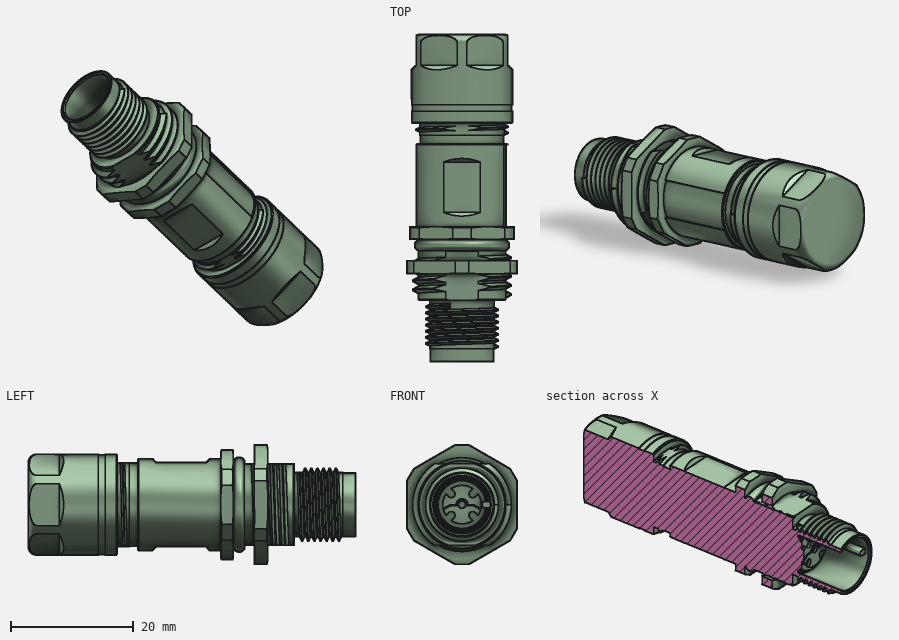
import cadquery as cq
import math

total_length = 53.45
overlap = 0.3

nose_end = 2.15
shank_front = 10.05
nut_front = 14.36
nut_back = 16.55
shank_back = 18.1
collar_front = 19.98
collar_back = 22.02
body_back = 35.61
neck_thread_front = 36.95
cap_front = 38.92
cap_groove_front = 40.88
cap_groove_back = 41.98
cap_flats_front = 48.4

nose_radius = 10.4 / 2
shank_radius = 7.17
gasket_ring_radius = 13.6 / 2
body_radius = 7.5
neck_radius = 6.83
neck_thread_root = 6.93
mating_thread_root = 5.27
nut_bore_radius = 7.65
cap_radius = 16.5 / 2
cap_groove_radius = 16.3 / 2
edge_chamfer = 0.2

mating_thread = {"root": mating_thread_root, "crest": 5.95, "pitch": 1.0, "first": 2.51, "last": 9.2}
shank_thread = {"root": shank_radius, "crest": 8.04, "pitch": 1.5, "first": 11.0, "last": 17.1}
neck_thread = {"root": neck_thread_root, "crest": 7.53, "pitch": 1.0, "first": 37.38, "last": 39.1}
crest_flat_ratio = 0.12
root_width_ratio = 0.75

mating_flat_height = 5.2
shank_flat_height = 6.65
neck_flat_height = 6.84

nut_across_flats = 18.0
nut_across_corners = 19.48
collar_across_flats = 17.0
collar_across_corners = 17.9
hex_bevel_depth = 0.2
nut_bevel_radius = 9.1
collar_bevel_radius = 8.6

cap_across_flats = 15.0
cap_end_rounding = 1.47

grip_flat_height = 6.9
grip_front = 24.4
grip_back = 32.6
label_radius = 7.2
label_half_width = 3.1
label_back = body_back - edge_chamfer

mouth_radius = 9.5 / 2
mouth_step_radius = 9.3 / 2
mouth_depth = 0.15
bore_radius = 9.2 / 2
bore_depth = 9.0
insert_rim_radii = (4.35, 4.1, 3.9)
insert_step_height = 0.25
contact_disc_radius = 3.14
contact_disc_height = 0.5
key_width = 1.0
key_inner_radius = 3.25
key_front = 1.0
contact_circle_radius = 2.45
contact_slot_width = 1.2
center_contact_radius = 0.6
parting_line_width = 0.15
parting_line_depth = 0.2
parting_arch_radius = 0.95
parting_level_end = 1.9
parting_slope_end = 3.0
parting_slope_drop = 0.65


def cylinder(radius, start, end):
    """Cylinder about Y between two stations."""
    return cq.Workplane("XZ", origin=(0, start, 0)).circle(radius).extrude(start - end)


def block(x_range, y_range, z_range):
    """Box given by its limits on each axis."""
    low, high = zip(x_range, y_range, z_range)
    size = [b - a for a, b in zip(low, high)]
    return cq.Workplane().box(*size, centered=False).translate(low)


def revolve_profile(profile):
    """Turn an (radius, station) outline drawn on the XY plane about Y."""
    return profile.close().revolve(360, (0, 0, 0), (0, 1, 0))


def chamfered_cylinder(radius, start, end, chamfered_face, chamfer):
    """Cylinder about Y with one end chamfered, picked by a face selector."""
    return cylinder(radius, start, end).faces(chamfered_face).chamfer(chamfer)


def thread_ridge(thread):
    """Right-hand helical ridge about Y."""
    length = thread["last"] - thread["first"]
    pitch = thread["pitch"]
    inner = thread["root"] - overlap / 2
    half_root = root_width_ratio * pitch / 2
    half_crest = crest_flat_ratio * pitch / 2
    helix = cq.Workplane(cq.Wire.makeHelix(pitch, length, thread["root"]))
    ridge = (
        cq.Workplane("XZ")
        .polyline(
            [
                (inner, -half_root),
                (thread["root"], -half_root),
                (thread["crest"], -half_crest),
                (thread["crest"], half_crest),
                (thread["root"], half_root),
                (inner, half_root),
            ]
        )
        .close()
        .sweep(helix, isFrenet=True)
    )
    return ridge.rotate((0, 0, 0), (1, 0, 0), -90).translate((0, thread["first"], 0))


def cut_flats(part, height, start, end):
    """Cut the part off above and below a height over a stretch of Y."""
    reach = nut_across_flats
    for low, high in ((height, reach), (-reach, -height)):
        part = part.cut(block((-reach, reach), (start, end), (low, high)))
    return part


def hex_prism(across_flats, start, end):
    """Hexagon about Y with flats facing +X and -X."""
    across_points = across_flats / math.cos(math.pi / 6)
    prism = cq.Workplane("XZ", origin=(0, start, 0)).polygon(6, across_points).extrude(start - end)
    return prism.rotate((0, 0, 0), (0, 1, 0), 30)


def truncated_hexagon(across_flats, across_corners, start, end):
    """Hexagon whose six corners are cut off by a second, turned hexagon."""
    corners = hex_prism(across_corners, start, end).rotate((0, 0, 0), (0, 1, 0), 30)
    return hex_prism(across_flats, start, end).intersect(corners)


def hex_envelope(across_corners, bevel_radius, start, end, bevel_back):
    """Turned body that bevels the end faces of a hexagon."""
    outer = across_corners / 2 + overlap
    back_bevel = hex_bevel_depth if bevel_back else 0
    profile = (
        cq.Workplane()
        .moveTo(0, start)
        .lineTo(bevel_radius, start)
        .lineTo(outer, start + hex_bevel_depth)
        .lineTo(outer, end - back_bevel)
    )
    if bevel_back:
        profile = profile.lineTo(bevel_radius, end)
    return revolve_profile(profile.lineTo(0, end))


def mating_end():
    nose = chamfered_cylinder(nose_radius, 0, shank_front + overlap, "<Y", edge_chamfer / 2)
    core = cylinder(mating_thread_root, nose_end, shank_front + overlap)
    part = nose.union(core).union(thread_ridge(mating_thread))
    return cut_flats(part, mating_flat_height, nose_end, shank_front)


def shank():
    core = chamfered_cylinder(shank_radius, shank_front, collar_front + overlap, "<Y", edge_chamfer)
    part = core.union(thread_ridge(shank_thread))
    return cut_flats(part, shank_flat_height, shank_front, shank_back)


def lock_nut():
    nut = truncated_hexagon(nut_across_flats, nut_across_corners, nut_front, nut_back)
    nut = nut.intersect(hex_envelope(nut_across_corners, nut_bevel_radius, nut_front, nut_back, False))
    return nut.cut(cylinder(nut_bore_radius, nut_front, nut_back))


def gasket():
    tube_radius = (collar_front - shank_back) / 2
    center = (collar_front + shank_back) / 2
    tube = cq.Workplane().center(-gasket_ring_radius, center).circle(tube_radius)
    return tube.revolve(360, (gasket_ring_radius, 0, 0), (gasket_ring_radius, 1, 0))


def collar():
    hexagon = truncated_hexagon(collar_across_flats, collar_across_corners, collar_front, collar_back)
    return hexagon.intersect(
        hex_envelope(collar_across_corners, collar_bevel_radius, collar_front, collar_back, True)
    )


def grip_recess():
    """Flat with 45 degree end walls, above the grip height on the +Z side."""
    depth = body_radius - grip_flat_height + overlap
    outline = [
        (grip_front, grip_flat_height),
        (grip_back, grip_flat_height),
        (grip_back + depth, grip_flat_height + depth),
        (grip_front - depth, grip_flat_height + depth),
    ]
    return cq.Workplane("YZ").polyline(outline).close().extrude(body_radius, both=True)


def label_recess():
    """Shallow recess with a curved floor on the +X side."""
    outside = block(
        (0, body_radius + overlap),
        (collar_back, label_back),
        (-label_half_width, label_half_width),
    )
    return outside.cut(cylinder(label_radius, collar_back, label_back))


def body():
    part = chamfered_cylinder(body_radius, collar_back - overlap, body_back, ">Y", edge_chamfer)
    part = part.cut(grip_recess())
    part = part.cut(grip_recess().mirror("XY"))
    return part.cut(label_recess())


def neck():
    plain = cylinder(neck_radius, body_back - overlap, neck_thread_front)
    core = cylinder(neck_thread_root, neck_thread_front, cap_groove_front)
    core = cut_flats(core, neck_flat_height, neck_thread_front, cap_groove_front)
    ridge = cut_flats(thread_ridge(neck_thread), neck_flat_height, neck_thread_front, cap_groove_front)
    return plain.union(core).union(ridge)


def cap():
    mid_arc = cap_end_rounding * (1 - math.sqrt(0.5))
    profile = (
        cq.Workplane()
        .moveTo(0, cap_front)
        .lineTo(cap_radius - edge_chamfer, cap_front)
        .lineTo(cap_radius, cap_front + edge_chamfer)
        .lineTo(cap_radius, cap_groove_front)
        .lineTo(cap_groove_radius, cap_groove_front)
        .lineTo(cap_groove_radius, cap_groove_back)
        .lineTo(cap_radius, cap_groove_back)
        .lineTo(cap_radius, total_length - cap_end_rounding)
        .threePointArc(
            (cap_radius - mid_arc, total_length - mid_arc),
            (cap_radius - cap_end_rounding, total_length),
        )
        .lineTo(0, total_length)
    )
    part = revolve_profile(profile)

    flat = cap_across_flats / 2
    rise = cap_radius - flat + overlap
    cutter = (
        cq.Workplane()
        .moveTo(flat, cap_flats_front)
        .lineTo(flat + rise, cap_flats_front - rise)
        .lineTo(flat + rise, total_length + overlap)
        .lineTo(flat, total_length + overlap)
        .close()
        .extrude(cap_radius, both=True)
    )
    for side in range(6):
        part = part.cut(cutter.rotate((0, 0, 0), (0, 1, 0), 60 * side))
    return part


def mating_bore():
    profile = (
        cq.Workplane()
        .moveTo(0, 0)
        .lineTo(mouth_radius, 0)
        .lineTo(mouth_step_radius, mouth_depth)
        .lineTo(bore_radius, 2 * mouth_depth)
        .lineTo(bore_radius, bore_depth)
        .lineTo(0, bore_depth)
    )
    return revolve_profile(profile)


def contact_insert():
    """Contact carrier on the floor of the mating bore, with its coding key on +X."""
    rim_face = bore_depth - insert_step_height * len(insert_rim_radii)
    disc_face = rim_face - contact_disc_height
    part = cylinder(contact_disc_radius, disc_face, bore_depth + overlap)
    for step, radius in enumerate(insert_rim_radii, start=1):
        step_face = bore_depth - insert_step_height * step
        part = part.union(cylinder(radius, step_face, bore_depth + overlap))

    part = part.cut(cylinder(center_contact_radius, disc_face, rim_face))
    half_slot = contact_slot_width / 2
    slot = cylinder(half_slot, disc_face, rim_face).translate((contact_circle_radius, 0, 0))
    slot = slot.union(
        block(
            (contact_circle_radius, contact_disc_radius + overlap),
            (disc_face, rim_face),
            (-half_slot, half_slot),
        )
    )
    for corner in range(4):
        part = part.cut(slot.rotate((0, 0, 0), (0, 1, 0), 45 + 90 * corner))

    groove_end = disc_face + parting_line_depth
    arch_inner = parting_arch_radius - parting_line_width
    arch = cylinder(parting_arch_radius, disc_face, groove_end)
    arch = arch.cut(cylinder(arch_inner, disc_face, groove_end))
    upper_half = block(
        (-parting_arch_radius, parting_arch_radius), (disc_face, groove_end), (0, parting_arch_radius)
    )
    branch = (
        cq.Workplane("XZ", origin=(0, disc_face, 0))
        .moveTo(arch_inner, 0)
        .lineTo(parting_level_end, 0)
        .lineTo(parting_slope_end, -parting_slope_drop)
        .lineTo(parting_slope_end, -parting_slope_drop - parting_line_width)
        .lineTo(parting_level_end, -parting_line_width)
        .lineTo(arch_inner, -parting_line_width)
        .close()
        .extrude(-parting_line_depth)
    )
    part = part.cut(arch.intersect(upper_half)).cut(branch).cut(branch.mirror("YZ"))

    half_key = key_width / 2
    key = block(
        (key_inner_radius + half_key, bore_radius + overlap / 2),
        (key_front, bore_depth),
        (-half_key, half_key),
    )
    tip = cylinder(half_key, key_front, bore_depth).translate((key_inner_radius + half_key, 0, 0))
    return part.union(key).union(tip)


result = mating_end()
for section in (shank(), lock_nut(), gasket(), collar(), body(), neck(), cap()):
    result = result.union(section)
result = result.cut(mating_bore()).union(contact_insert())